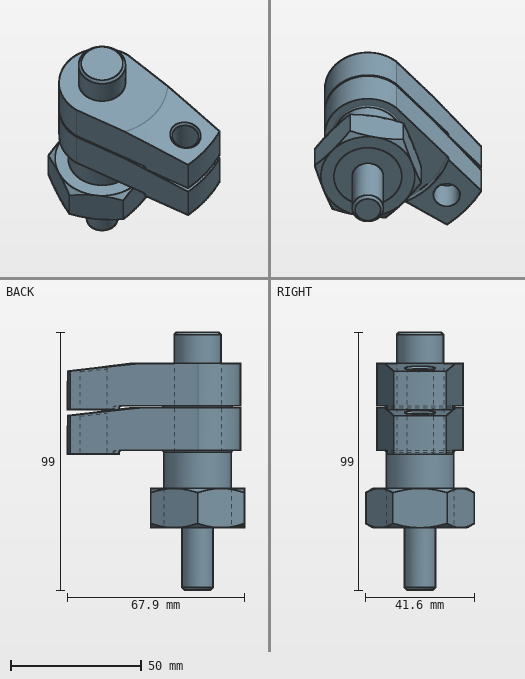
import cadquery as cq
import math

total_height = 99.0
stem_diameter = 12.0
stem_chamfer = 1.1
collar_diameter = 26.0
pin_diameter = 18.0
pin_chamfer = 1.0
pin_projection = 12.0

nut_width = 36.0
nut_bottom = 24.0
nut_height = 15.0
nut_chamfer_angle = 30.0

lever_count = 2
lever_pitch = 17.0
boss_height = 0.7
lever_thickness = lever_pitch - boss_height
hub_radius = 16.5
tip_radius = 49.9
tip_half_width = 10.1
slope_start_radius = 25.1
slope_angle = 7.0
pad_start_radius = 32.6
pad_depth = 1.5
pad_fillet = 0.8
eye_center = 40.0
eye_diameter = 10.2
eye_rim_diameter = 11.9

upper_lever_top = total_height - pin_projection
collar_top = upper_lever_top - lever_count * lever_pitch
slope = math.tan(math.radians(slope_angle))


def cylinder(radius, bottom, top):
    return cq.Workplane("XY").workplane(offset=bottom).circle(radius).extrude(top - bottom)


def make_post():
    """Stepped round post, its collar reaching from the nut's underside to the lower lever."""
    stem = cylinder(stem_diameter / 2, 0, nut_bottom).faces("<Z").chamfer(stem_chamfer)
    collar = cylinder(collar_diameter / 2, nut_bottom, collar_top)
    pin = cylinder(pin_diameter / 2, collar_top, total_height).faces(">Z").chamfer(pin_chamfer)
    return stem.union(collar, clean=False).union(pin)


def make_nut():
    """Hexagon with corners on the Y axis, both faces chamfered by a cone tangent to the flats."""
    flat_radius = nut_width / 2
    corner_radius = flat_radius / math.cos(math.radians(30))
    corner_drop = (corner_radius - flat_radius) * math.tan(math.radians(nut_chamfer_angle))
    nut_top = nut_bottom + nut_height
    hexagon = (
        cq.Workplane("XY")
        .workplane(offset=nut_bottom)
        .polygon(6, 2 * corner_radius)
        .extrude(nut_height)
        .rotate((0, 0, 0), (0, 0, 1), 30)
    )
    chamfer_envelope = (
        cq.Workplane("XZ")
        .moveTo(0, nut_bottom)
        .lineTo(flat_radius, nut_bottom)
        .lineTo(corner_radius, nut_bottom + corner_drop)
        .lineTo(corner_radius, nut_top - corner_drop)
        .lineTo(flat_radius, nut_top)
        .lineTo(0, nut_top)
        .close()
        .revolve(360, (0, 0), (0, 1))
    )
    bore = cylinder(collar_diameter / 2, nut_bottom, nut_top)
    return hexagon.intersect(chamfer_envelope).cut(bore)


def lever_blank(bottom, top):
    """Plan outline of the lever: round hub, tapering sides and an end arc."""
    tip_corner_x = math.sqrt(tip_radius**2 - tip_half_width**2)
    return (
        cq.Workplane("XY")
        .workplane(offset=bottom)
        .moveTo(0, hub_radius)
        .threePointArc((-hub_radius, 0), (0, -hub_radius))
        .lineTo(tip_corner_x, -tip_half_width)
        .threePointArc((tip_radius, 0), (tip_corner_x, tip_half_width))
        .close()
        .extrude(top - bottom)
    )


def make_lever(top):
    """Lever with a conical top slope, a thicker pad below, a filleted hub boss and an eye."""
    underside = top - lever_thickness
    boss_bottom = underside - boss_height
    pad_bottom = underside - pad_depth
    lever = lever_blank(pad_bottom, top)

    relief = cylinder(pad_start_radius, pad_bottom, underside).faces(">Z").edges().fillet(pad_fillet)
    lever = lever.cut(relief)

    cutter_radius = tip_radius + hub_radius
    slope_cutter = (
        cq.Workplane("XZ")
        .moveTo(slope_start_radius, top)
        .lineTo(cutter_radius, top)
        .lineTo(cutter_radius, top - (cutter_radius - slope_start_radius) * slope)
        .close()
        .revolve(360, (0, 0), (0, 1))
    )
    lever = lever.cut(slope_cutter)

    boss_radius = collar_diameter / 2
    round_inset = boss_height * (1 - math.sqrt(0.5))
    boss = (
        cq.Workplane("XZ")
        .moveTo(0, boss_bottom)
        .lineTo(boss_radius, boss_bottom)
        .threePointArc(
            (boss_radius + round_inset, underside - round_inset),
            (boss_radius + boss_height, underside),
        )
        .lineTo(0, underside)
        .close()
        .revolve(360, (0, 0), (0, 1))
    )
    lever = lever.union(boss).cut(cylinder(pin_diameter / 2, boss_bottom, top))

    eye_top = top - (eye_center - slope_start_radius) * slope
    sink_radius = eye_rim_diameter / 2
    eye = cylinder(eye_diameter / 2, pad_bottom, top).translate((eye_center, 0, 0))
    countersink = (
        cq.Workplane("XZ")
        .moveTo(0, -sink_radius)
        .lineTo(2 * sink_radius, sink_radius)
        .lineTo(0, sink_radius)
        .close()
        .revolve(360, (0, 0), (0, 1))
        .rotate((0, 0, 0), (0, 1, 0), slope_angle)
        .translate((eye_center, 0, eye_top))
    )
    return lever.cut(eye).cut(countersink)


post = make_post()
nut = make_nut()
levers = [make_lever(upper_lever_top - i * lever_pitch) for i in range(lever_count)]

result = cq.Compound.makeCompound([body.solids().val() for body in [post, nut, *levers]])